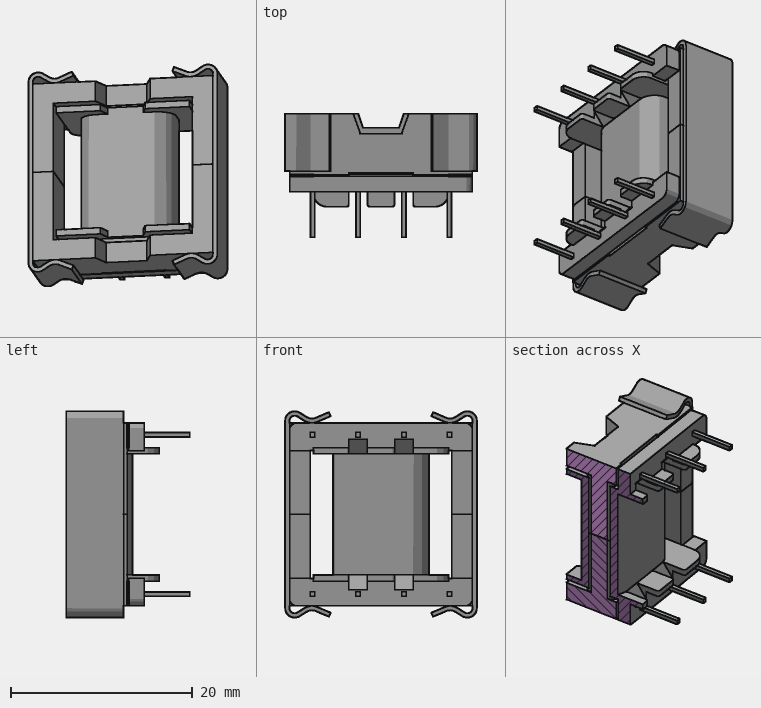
import cadquery as cq
import math


core_half = 10.05
core_depth = 6.71
back_plate = 2.3
outer_leg_width = 2.3
leg_recess = 0.2
notch_half_bottom = 2.27
notch_half_top = 3.06

tube_width = 10.57
tube_back = 1.55
tube_front = 7.33
tube_corner = 2.05
tube_wall = 0.65
leg_clearance = 0.11

flange_inner = 6.65
flange_thickness = 0.7
flange_width = 14.88
flange_front = 10.25
flange_corner = 1.52
lug_corner = 0.27
flange_notch_half_bottom = 1.97
flange_notch_half_top = 2.5

bar_back = 6.9
bar_front = 8.6
bar_inner = 7.0
bar_corner = 0.8

channel_width = 2.05
channel_reach = 8.25

pin_side = 0.5
pin_tip = 13.6
pin_pitch = 5.01
pin_row = 8.75
pin_count = 4

clip_thickness = 0.5
clip_depth = 6.33
clip_half_height = 11.35
crown_outer_radius = 1.07
valley_radius = 1.35
clip_slope = 32.0
tip_slope = 23.0
tip_length = 1.56

hole_back = tube_back + tube_wall
hole_front = tube_front - tube_wall
hole_width = tube_width - 2 * tube_wall
hole_corner = tube_corner - tube_wall
leg_back = hole_back + leg_clearance
leg_front = core_depth - leg_recess
leg_width = hole_width - 2 * leg_clearance
leg_corner = 1.02
leg_flat = leg_width - 2 * leg_corner
flange_outer = flange_inner + flange_thickness


def box(x0, x1, back, front, z0, z1):
    """Box between two X values, two distances in front of the back plane and two Z values."""
    return cq.Workplane("XY").box(x1 - x0, front - back, z1 - z0, centered=False).translate((x0, -front, z0))


def rounded_bar(width, back, front, z0, z1, corner):
    """Box centred on X with its four Z edges rounded."""
    return box(-width / 2, width / 2, back, front, z0, z1).edges("|Z").fillet(corner)


def back_notch(half_top, half_bottom, depth, z0, z1):
    """Trapezoid prism that opens the back plane."""
    return (
        cq.Workplane("XY", origin=(0, 0, z0))
        .polyline([(-half_top, 0), (-half_bottom, -depth), (half_bottom, -depth), (half_top, 0)])
        .close()
        .extrude(z1 - z0)
    )


def make_core_half():
    """Upper E core, its legs ending on the middle plane."""
    plate_inner = core_half - back_plate
    core = box(-core_half, core_half, 0, core_depth, 0, core_half)
    window_half = core_half - outer_leg_width
    core = core.cut(box(-window_half, window_half, 0, core_depth, 0, plate_inner))
    core = core.cut(back_notch(notch_half_top, notch_half_bottom, hole_back, plate_inner, core_half))
    core = core.cut(box(-leg_flat / 2, leg_flat / 2, leg_front, core_depth, plate_inner, core_half))
    leg = rounded_bar(leg_width, leg_back, leg_front, 0, plate_inner, leg_corner)
    return core.union(leg)


def make_flange():
    """Upper flange with rounded front corners and a notched back edge."""
    flange = box(-flange_width / 2, flange_width / 2, 0, flange_front, flange_inner, flange_outer)
    flange = flange.edges("|Z and <Y").fillet(flange_corner)
    return flange.cut(
        back_notch(flange_notch_half_top, flange_notch_half_bottom, tube_back, flange_inner, flange_outer)
    )


def make_channel(x):
    """Cutter for a wire channel: it parts the flange into lugs and ramps out through the bar."""
    ramp = [
        (-tube_front, flange_inner),
        (-bar_front, channel_reach),
        (-flange_front, channel_reach),
        (-flange_front, flange_inner),
    ]
    return (
        cq.Workplane("YZ", origin=(x - channel_width / 2, 0, 0)).polyline(ramp).close().extrude(channel_width)
    )


def make_bobbin_end():
    """Upper flange, terminal bar and pins."""
    bar = box(-core_half, core_half, bar_back, bar_front, bar_inner, core_half)
    bar = bar.edges("|Y and >Z").fillet(bar_corner)
    end = make_flange().union(bar)
    for x in (-pin_pitch / 2, pin_pitch / 2):
        end = end.cut(make_channel(x))
    inward = flange_width / 2 - 2 * flange_corner
    lug_corners = cq.selectors.BoxSelector(
        (-inward, -flange_front - lug_corner, flange_inner),
        (inward, -flange_front + lug_corner, flange_outer),
    )
    end = end.edges("|Z").edges(lug_corners).fillet(lug_corner)
    half = pin_side / 2
    for i in range(pin_count):
        x = (i - (pin_count - 1) / 2) * pin_pitch
        end = end.union(box(x - half, x + half, bar_front, pin_tip, pin_row - half, pin_row + half))
    return end


def make_bobbin():
    """Tube with an end piece above and below, and the hole for the centre legs."""
    tube = rounded_bar(tube_width, tube_back, tube_front, -flange_inner, flange_inner, tube_corner)
    end = make_bobbin_end()
    bobbin = tube.union(end).union(end.mirror("XY"))
    return bobbin.cut(rounded_bar(hole_width, hole_back, hole_front, -flange_outer, flange_outer, hole_corner))


def make_clip():
    """Left clip: a flat strip whose ends curl over a crown and press on the core with a valley."""
    half = clip_thickness / 2
    slope = math.radians(clip_slope)
    tip = math.radians(tip_slope)
    crown_radius = crown_outer_radius - half
    crown_x = -core_half - clip_thickness + crown_outer_radius
    crown_z = clip_half_height - crown_outer_radius
    drop = clip_half_height - core_half - clip_thickness
    straight = (drop - (crown_radius + valley_radius) * (1 - math.cos(slope))) / math.sin(slope)
    valley_x = crown_x + (crown_radius + valley_radius) * math.sin(slope) + straight * math.cos(slope)
    valley_z = core_half + half + valley_radius

    def on_crown(radius, angle):
        """Point at an angle from straight up, positive towards the valley."""
        return crown_x + radius * math.sin(angle), crown_z + radius * math.cos(angle)

    def on_valley(radius, angle):
        """Point at an angle from straight down, positive towards the tip."""
        return valley_x + radius * math.sin(angle), valley_z - radius * math.cos(angle)

    def tip_end(radius):
        x, z = on_valley(radius, tip)
        return x + tip_length * math.cos(tip), z + tip_length * math.sin(tip)

    crown_in = crown_radius - half
    valley_in = valley_radius - half
    valley_out = valley_radius + half
    upper_half = (
        cq.Workplane("XZ")
        .moveTo(crown_x - crown_outer_radius, 0)
        .lineTo(crown_x - crown_outer_radius, crown_z)
        .threePointArc(on_crown(crown_outer_radius, 0), on_crown(crown_outer_radius, slope))
        .lineTo(*on_valley(valley_in, -slope))
        .threePointArc(on_valley(valley_in, 0), on_valley(valley_in, tip))
        .lineTo(*tip_end(valley_in))
        .lineTo(*tip_end(valley_out))
        .lineTo(*on_valley(valley_out, tip))
        .threePointArc(on_valley(valley_out, 0), on_valley(valley_out, -slope))
        .lineTo(*on_crown(crown_in, slope))
        .threePointArc(on_crown(crown_in, 0), (crown_x - crown_in, crown_z))
        .lineTo(crown_x - crown_in, 0)
        .close()
        .extrude(clip_depth)
    )
    return upper_half.union(upper_half.mirror("XY")).clean()


upper_core = make_core_half()
lower_core = upper_core.mirror("XY")
bobbin = make_bobbin()
left_clip = make_clip()
right_clip = left_clip.mirror("YZ")

result = cq.Compound.makeCompound(
    [upper_core.val(), lower_core.val(), bobbin.val(), left_clip.val(), right_clip.val()]
)